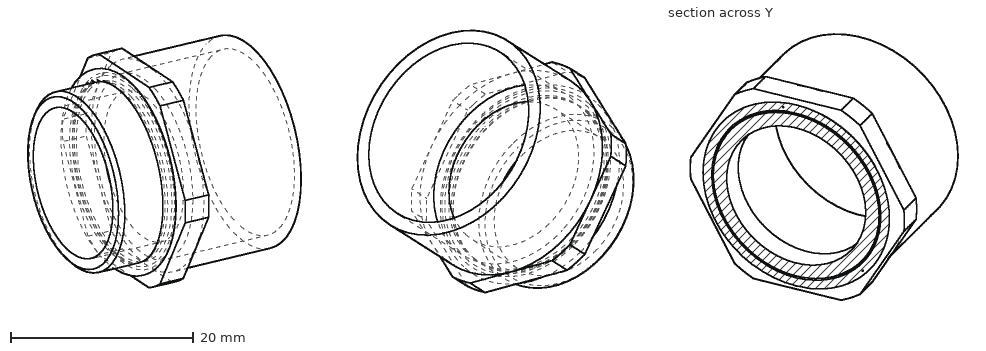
import cadquery as cq
import math


spigot_length = 6.5
hex_thickness = 3.0
socket_length = 12.5
counterbore_depth = 13.0

across_flats = 24.0
corner_diameter = 26.3
socket_diameter = across_flats
spigot_diameter = 20.4
bore_diameter = 17.0
counterbore_diameter = 21.0

spigot_chamfer = 0.5

ring_section_diameter = 1.45
ring_overlap = 0.02

hex_sides = 6
spigot_end_y = -spigot_length
socket_end_y = hex_thickness + socket_length
total_length = socket_end_y - spigot_end_y


def cylinder_along_y(diameter, start_y, length):
    """Solid cylinder on the Y axis, from start_y towards +Y."""
    plane = cq.Workplane("XZ", origin=(0, start_y, 0))
    return plane.circle(diameter / 2).extrude(-length)


def make_flange():
    """Hexagonal flange with flats at top and bottom and corners trimmed to a circle."""
    sharp_corner_diameter = across_flats / math.cos(math.pi / hex_sides)
    hexagon = cq.Workplane("XZ").polygon(hex_sides, sharp_corner_diameter).extrude(-hex_thickness)
    return hexagon.intersect(cylinder_along_y(corner_diameter, 0, hex_thickness))


def make_spigot():
    """Front spigot with a chamfered outer rim."""
    spigot = cylinder_along_y(spigot_diameter, spigot_end_y, spigot_length)
    return spigot.faces("<Y").chamfer(spigot_chamfer)


def make_sealing_ring():
    """O-ring around the spigot, sunk slightly into the spigot and the flange."""
    section_radius = ring_section_diameter / 2
    centre_radius = spigot_diameter / 2 + section_radius - ring_overlap
    centre_y = ring_overlap - section_radius
    return (
        cq.Workplane("XY")
        .center(-centre_radius, centre_y)
        .circle(section_radius)
        .revolve(360, (centre_radius, 0), (centre_radius, 1))
    )


socket = cylinder_along_y(socket_diameter, hex_thickness, socket_length)
outer_body = make_flange().union(socket).union(make_spigot()).union(make_sealing_ring())

bore = cylinder_along_y(bore_diameter, spigot_end_y, total_length)
counterbore = cylinder_along_y(
    counterbore_diameter, socket_end_y - counterbore_depth, counterbore_depth
)

result = outer_body.cut(bore).cut(counterbore)